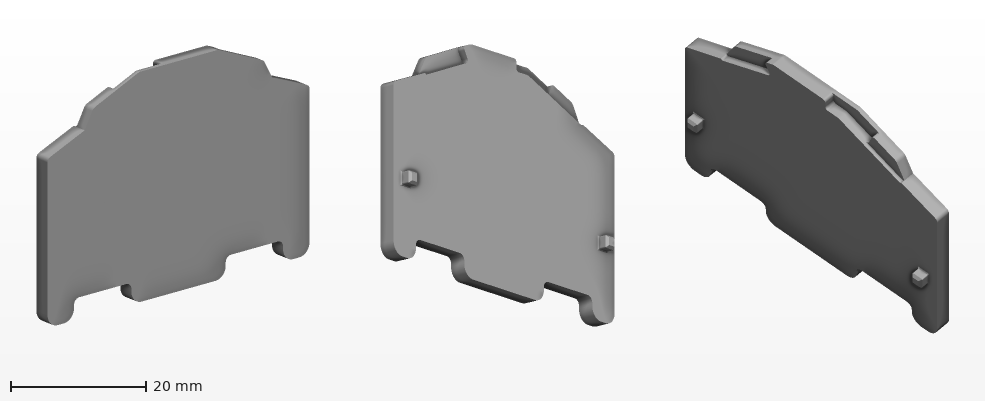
import cadquery as cq

LENGTH = 50.5
HEIGHT = 36.2
THICKNESS = 2.6
HALF_LENGTH = LENGTH / 2

TOP_HALF_WIDTH = 7.6
TAB_CORNER_Y = 16.4
TAB_CORNER_Z = 32.5
TAB_FOOT_Y = 18.1
TAB_FOOT_Z = 29.45
SHOULDER_Z = 26.55
SHOULDER_RADIUS = 0.8
CROWN_RADIUS = 1.1

FOOT_WIDTH = 5.1
TONGUE_HALF_WIDTH = 9.1
NOTCH_HEIGHT = 3.45
FOOT_RADIUS = 1.95
NOTCH_RADIUS = 1.0

LEFT_RECESS_DEPTH = 1.2
GRIP_RECESS_DEPTH = 1.8
TIP_RECESS_DEPTH = 0.65
RECESS_RADIUS = 0.5
CUT_MARGIN = 1.0

PEG_LENGTH = 1.75
PEG_WIDTH = 1.95
PEG_OFFSET = 22.5
PEG_HEIGHT = 12.0
PEG_TIP_CHAMFER = 0.4
PEG_EDGE_RADIUS = 0.2
PEG_FOOT_FLARE = 0.15


def extrude_outline(points, depth):
    """Extrude a closed (y, z) outline from the front face into the plate."""
    return cq.Workplane("YZ").polyline(points).close().extrude(depth)


def round_corners(body, corners, radius):
    """Round the edges along X that pass through the given (y, z) corners."""
    middle_x = body.val().BoundingBox().center.x
    for y, z in corners:
        corner_edge = body.edges("|X").edges(cq.selectors.NearestToPointSelector((middle_x, y, z)))
        body = corner_edge.fillet(radius)
    return body


def height_on_line(y, start, end):
    """Height at y on the straight line through two (y, z) points."""
    return start[1] + (y - start[0]) * (end[1] - start[1]) / (end[0] - start[0])


def mirrored(points):
    return [(-y, z) for y, z in reversed(points)]


def make_plate():
    foot_inner_y = HALF_LENGTH - FOOT_WIDTH
    half_outline = [
        (TONGUE_HALF_WIDTH, 0),
        (TONGUE_HALF_WIDTH, NOTCH_HEIGHT),
        (foot_inner_y, NOTCH_HEIGHT),
        (foot_inner_y, 0),
        (HALF_LENGTH, 0),
        (HALF_LENGTH, SHOULDER_Z),
        (TAB_FOOT_Y, TAB_FOOT_Z),
        (TAB_CORNER_Y, TAB_CORNER_Z),
        (TOP_HALF_WIDTH, HEIGHT),
    ]
    plate = extrude_outline(half_outline + mirrored(half_outline), THICKNESS)
    for side in (-1, 1):
        lower = [(side * y, 0) for y in (TONGUE_HALF_WIDTH, foot_inner_y, HALF_LENGTH)]
        notch = [(side * y, NOTCH_HEIGHT) for y in (TONGUE_HALF_WIDTH, foot_inner_y)]
        crown = [(side * TOP_HALF_WIDTH, HEIGHT), (side * TAB_CORNER_Y, TAB_CORNER_Z)]
        plate = round_corners(plate, lower, FOOT_RADIUS)
        plate = round_corners(plate, notch, NOTCH_RADIUS)
        plate = round_corners(plate, [(side * HALF_LENGTH, SHOULDER_Z)], SHOULDER_RADIUS)
        plate = round_corners(plate, crown, CROWN_RADIUS)
    return plate


FLOOR_END_Y = 17.8
FLOOR_END_Z = 29.25
ABOVE_PLATE = HEIGHT + CUT_MARGIN
OUTSIDE_Y = TAB_FOOT_Y + CUT_MARGIN


def crown_height(y):
    """Height of the upper slope, the same on both sides of the middle."""
    return height_on_line(abs(y), (TOP_HALF_WIDTH, HEIGHT), (TAB_CORNER_Y, TAB_CORNER_Z))


LEFT_WALL_TOP_Y = 9.35
LEFT_WALL_BOTTOM = (8.1, 33.3)


def make_left_recess():
    """Recess on the +Y slope, closed by a slanted inner wall."""
    wall_top = (LEFT_WALL_TOP_Y, crown_height(LEFT_WALL_TOP_Y))
    outline = [
        (TOP_HALF_WIDTH, ABOVE_PLATE),
        (TOP_HALF_WIDTH, HEIGHT),
        wall_top,
        LEFT_WALL_BOTTOM,
        (FLOOR_END_Y, FLOOR_END_Z),
        (TAB_FOOT_Y, TAB_FOOT_Z),
        (OUTSIDE_Y, TAB_FOOT_Z),
        (OUTSIDE_Y, ABOVE_PLATE),
    ]
    recess = extrude_outline(outline, LEFT_RECESS_DEPTH)
    return round_corners(recess, [wall_top, LEFT_WALL_BOTTOM], RECESS_RADIUS)


GRIP_WALL_Y = -2.85
GRIP_FLOOR_Z = 34.3
GRIP_BEND = (-5.5, GRIP_FLOOR_Z)
RIGHT_FLOOR_END = (-FLOOR_END_Y, FLOOR_END_Z)
STEP_BOTTOM_Y = -10.8
STEP_TOP_Y = -11.7
BEND_RADIUS = 2.0


def make_grip_recess():
    """Deep upper part of the -Y recess, ending at a step on the slope."""
    wall_top = (GRIP_WALL_Y, HEIGHT)
    wall_bottom = (GRIP_WALL_Y, GRIP_FLOOR_Z)
    step_bottom = (STEP_BOTTOM_Y, height_on_line(STEP_BOTTOM_Y, GRIP_BEND, RIGHT_FLOOR_END))
    step_top = (STEP_TOP_Y, crown_height(STEP_TOP_Y))
    inner_y = GRIP_WALL_Y + CUT_MARGIN
    outline = [
        (inner_y, ABOVE_PLATE),
        (inner_y, HEIGHT),
        wall_top,
        wall_bottom,
        GRIP_BEND,
        step_bottom,
        step_top,
        (-TAB_CORNER_Y, TAB_CORNER_Z),
        (-TAB_CORNER_Y, ABOVE_PLATE),
    ]
    recess = extrude_outline(outline, GRIP_RECESS_DEPTH)
    recess = round_corners(recess, [wall_top, wall_bottom, step_bottom, step_top], RECESS_RADIUS)
    return round_corners(recess, [GRIP_BEND], BEND_RADIUS)


def make_tip_recess():
    """Shallow lower part of the -Y recess, running out at the tab foot."""
    start_y = STEP_BOTTOM_Y + CUT_MARGIN
    outline = [
        (start_y, ABOVE_PLATE),
        (start_y, height_on_line(start_y, GRIP_BEND, RIGHT_FLOOR_END)),
        RIGHT_FLOOR_END,
        (-TAB_FOOT_Y, TAB_FOOT_Z),
        (-OUTSIDE_Y, TAB_FOOT_Z),
        (-OUTSIDE_Y, ABOVE_PLATE),
    ]
    return extrude_outline(outline, TIP_RECESS_DEPTH)


def make_peg(y):
    """Square peg with rounded long edges, a bevelled tip and a flared foot."""
    blank = cq.Workplane("YZ").center(y, PEG_HEIGHT).rect(PEG_WIDTH, PEG_WIDTH).extrude(-PEG_LENGTH)
    bevelled = blank.faces("<X").chamfer(PEG_TIP_CHAMFER)
    rounded = blank.edges("|X").fillet(PEG_EDGE_RADIUS)
    foot_width = PEG_WIDTH + 2 * PEG_FOOT_FLARE
    foot = (
        cq.Workplane("YZ")
        .center(y, PEG_HEIGHT)
        .rect(foot_width, foot_width)
        .extrude(-PEG_FOOT_FLARE, taper=45)
    )
    return bevelled.intersect(rounded).union(foot)


result = make_plate()
for recess in (make_left_recess(), make_tip_recess(), make_grip_recess()):
    result = result.cut(recess)
for side in (-1, 1):
    result = result.union(make_peg(side * PEG_OFFSET))